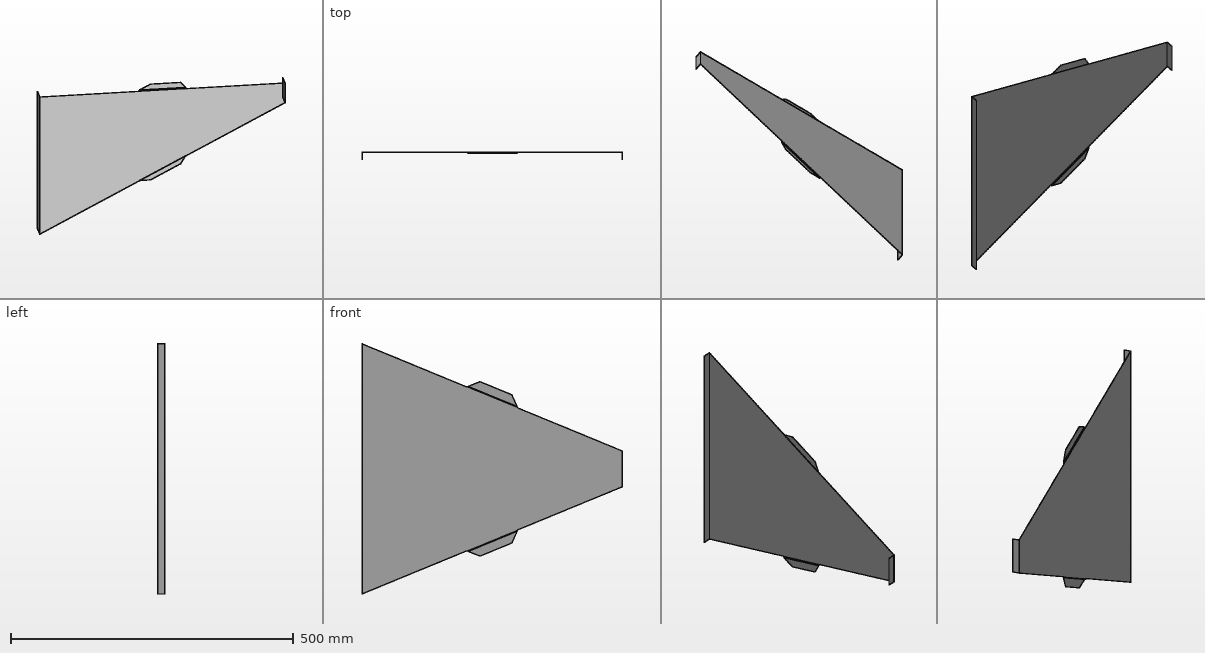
import cadquery as cq
import math

length = 462.0
wide_height = 443.92
narrow_height = 63.5
depth = 13.0
sheet = 0.7

tab_root_length = 98.0
tab_reach = 17.6
tab_corner_setback = 18.4
tab_offset = 1.5
joggle_start = 0.4
joggle_width = 1.5
joggle_end = joggle_start + joggle_width
tab_overlap = 1.0

edge_angle = math.atan2((wide_height - narrow_height) / 2, length)
tab_start_x = (length - tab_root_length * math.cos(edge_angle)) / 2


def make_panel():
    """Flat trapezoid with its front face at Y = -sheet and its back face at Y = 0."""
    outline = [
        (0, -wide_height / 2),
        (length, -narrow_height / 2),
        (length, narrow_height / 2),
        (0, wide_height / 2),
    ]
    return cq.Workplane("XZ").polyline(outline).close().extrude(sheet)


def make_end_flange(start_x, height):
    """Flange along a vertical end of the panel, folded forward to the full depth."""
    return cq.Workplane("XY").box(sheet, depth, height, centered=False).translate(
        (start_x, -depth, -height / 2)
    )


def make_upper_tab():
    """Tab on the upper sloping edge: a slanted joggle, then a flat lap with clipped corners."""
    overlap_start = joggle_start - tab_overlap
    section = [
        (overlap_start, 0),
        (joggle_start, 0),
        (joggle_end, tab_offset),
        (tab_reach, tab_offset),
        (tab_reach, tab_offset + sheet),
        (joggle_end, tab_offset + sheet),
        (joggle_start, sheet),
        (overlap_start, sheet),
    ]
    outline = [
        (0, overlap_start),
        (0, 0),
        (tab_corner_setback, tab_reach),
        (tab_root_length - tab_corner_setback, tab_reach),
        (tab_root_length, 0),
        (tab_root_length, overlap_start),
    ]
    section_plane = cq.Plane(origin=(0, 0, 0), xDir=(0, 0, 1), normal=(1, 0, 0))
    strip = (
        cq.Workplane(section_plane)
        .polyline(section)
        .close()
        .extrude(tab_root_length)
    )
    blank = cq.Workplane("XZ").polyline(outline).close().extrude(depth)
    start_z = wide_height / 2 - tab_start_x * math.tan(edge_angle)
    return (
        strip.intersect(blank)
        .rotate((0, 0, 0), (0, 1, 0), math.degrees(edge_angle))
        .translate((tab_start_x, 0, start_z))
    )


upper_tab = make_upper_tab()
lower_tab = upper_tab.mirror("XY")

result = (
    make_panel()
    .union(make_end_flange(0, wide_height))
    .union(make_end_flange(length - sheet, narrow_height))
    .union(upper_tab)
    .union(lower_tab)
)